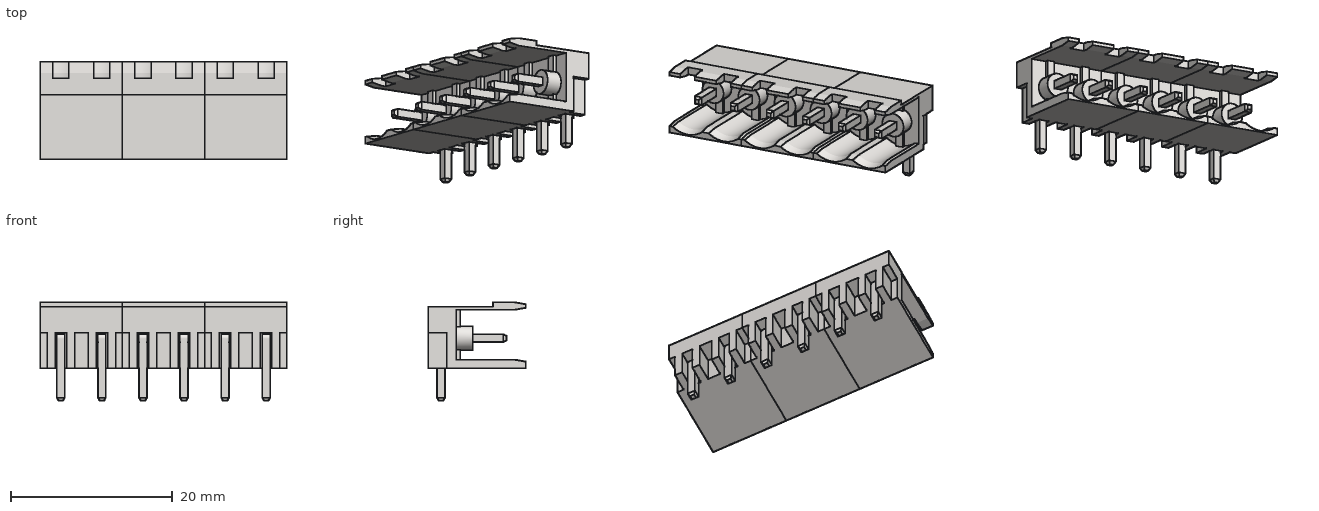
import cadquery as cq
import math

module_count = 3
poles_per_module = 2
pole_pitch = 5.08
module_width = poles_per_module * pole_pitch

depth = 12.1
roof_height = 7.65
rail_height = 8.2
rail_depth = 4.1
rail_start = depth - rail_depth
roof_underside = 7.24
floor_height = 1.1
wall_depth = 3.5
lead_in_length = 1.4
lead_in_angle = 10
lead_in_drop = lead_in_length * math.tan(math.radians(lead_in_angle))
lead_in_start = depth - lead_in_length

pin_width = 1.0
pin_height = 3.75
pin_end = 9.7
tail_center = 1.6
tail_length = 4.0
bend_radius = 0.55
tip_length = 0.4
tip_angle = 30

collar_diameter = 3.0
collar_end = 5.55
rib_width = 1.0
rib_thickness = 0.48
rib_bottom = 0.3
trough_radius = 3.32
notch_width = 2.0
notch_depth = 2.05

pocket_height = 4.4
pocket_depth = 2.33
pin_slot_width = 1.42
gap_width = 1.68

pole_centers = [(pole + 0.5) * pole_pitch for pole in range(poles_per_module)]
pole_boundaries = [edge * pole_pitch for edge in range(poles_per_module + 1)]


def shell():
    """C-shaped profile, open at the mating end, with lead-in slopes at its lips."""
    outline = [
        (0, 0),
        (depth, 0),
        (depth, floor_height - lead_in_drop),
        (lead_in_start, floor_height),
        (wall_depth, floor_height),
        (wall_depth, roof_underside),
        (lead_in_start, roof_underside),
        (depth, roof_underside + lead_in_drop),
        (depth, rail_height - lead_in_drop),
        (lead_in_start, rail_height),
        (rail_start, rail_height),
        (rail_start, roof_height),
        (0, roof_height),
    ]
    return cq.Workplane("YZ").polyline(outline).close().extrude(module_width)


def rear_pocket(center_x, width):
    """Block that opens the rear wall from the underside."""
    return (
        cq.Workplane("XY")
        .center(center_x, pocket_depth / 2)
        .rect(width, pocket_depth)
        .extrude(pocket_height)
    )


def trough(center_x):
    """Round channel coaxial with the pin, flared into a cone at the mating end."""
    flare_radius = trough_radius + lead_in_drop
    half_section = [
        (0, wall_depth),
        (trough_radius, wall_depth),
        (trough_radius, lead_in_start),
        (flare_radius, depth),
        (0, depth),
    ]
    return (
        cq.Workplane("XY")
        .polyline(half_section)
        .close()
        .revolve(360, (0, 0, 0), (0, 1, 0))
        .translate((center_x, 0, pin_height))
    )


def roof_notch(center_x):
    """Rectangular notch through the roof at the mating end."""
    return (
        cq.Workplane("XY", origin=(0, 0, pin_height))
        .center(center_x, depth - notch_depth / 2)
        .rect(notch_width, notch_depth)
        .extrude(rail_height - pin_height)
    )


def wall_rib(center_x):
    """Upright rib on the cavity wall behind the pin, from the trough to the roof."""
    rib_end = wall_depth + rib_thickness
    return (
        cq.Workplane("XY", origin=(0, 0, rib_bottom))
        .center(center_x, (pocket_depth + rib_end) / 2)
        .rect(rib_width, rib_end - pocket_depth)
        .extrude(roof_underside - rib_bottom)
    )


def collar(center_x):
    """Round collar that carries the mating leg of the pin."""
    return (
        cq.Workplane("XZ", origin=(center_x, pocket_depth, pin_height))
        .circle(collar_diameter / 2)
        .extrude(pocket_depth - collar_end)
    )


def pin(center_x):
    """Square pin bent at a right angle, with a tapered tip on each leg."""
    half = pin_width / 2
    tail_rear = tail_center - half
    leg_top = pin_height + half
    leg_end = pin_end - tip_length
    tail_end = tip_length - tail_length
    bend = (
        cq.Workplane("YZ", origin=(center_x - half, 0, 0))
        .moveTo(tail_rear, tail_end)
        .lineTo(tail_rear, leg_top - bend_radius)
        .radiusArc((tail_rear + bend_radius, leg_top), bend_radius)
        .lineTo(leg_end, leg_top)
        .lineTo(leg_end, leg_top - pin_width)
        .lineTo(tail_rear + pin_width, leg_top - pin_width)
        .lineTo(tail_rear + pin_width, tail_end)
        .close()
        .extrude(pin_width)
    )
    mating_tip = (
        cq.Workplane(cq.Plane((center_x, leg_end, pin_height), (1, 0, 0), (0, 1, 0)))
        .rect(pin_width, pin_width)
        .extrude(tip_length, taper=tip_angle)
    )
    solder_tip = (
        cq.Workplane(cq.Plane((center_x, tail_center, tail_end), (1, 0, 0), (0, 0, -1)))
        .rect(pin_width, pin_width)
        .extrude(tip_length, taper=tip_angle)
    )
    return bend.union(mating_tip).union(solder_tip)


def header_module():
    """One two-pole header: housing with its pins as a single solid."""
    body = shell()
    for boundary in pole_boundaries:
        body = body.cut(rear_pocket(boundary, gap_width))
    for center_x in pole_centers:
        body = body.cut(rear_pocket(center_x, pin_slot_width))
        body = body.cut(trough(center_x))
        body = body.cut(roof_notch(center_x))
        body = body.union(wall_rib(center_x))
        body = body.union(collar(center_x))
        body = body.union(pin(center_x))
    return body


module = header_module().solids().val()
modules = [module.moved(cq.Location((index * module_width, 0, 0))) for index in range(module_count)]

result = cq.Compound.makeCompound(modules)